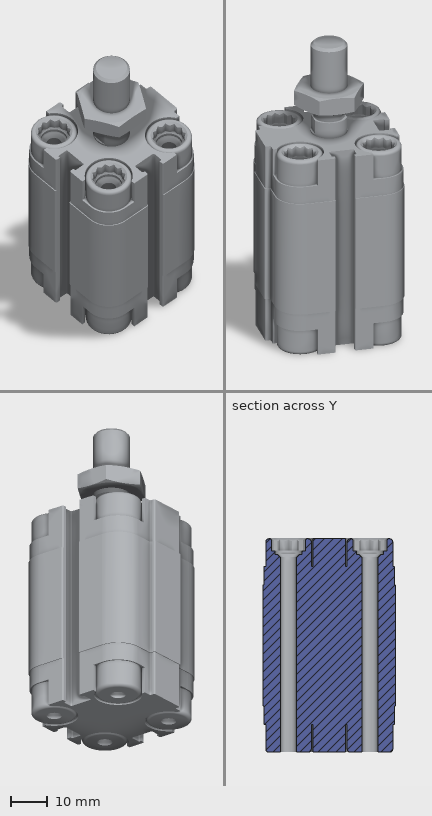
import cadquery as cq
import math


TOTAL_HEIGHT = 84.5
HOUSING_HEIGHT = 58.0
CAP_HEIGHT = 12.5
HEAD_HEIGHT = 7.5
NUT_BOTTOM = 66.5
NUT_HEIGHT = 5.0

BARREL_HALF = 18.0
CAP_STEP = 0.25
BOLT_SPACING = 22.05
BOLT_OFFSET = BOLT_SPACING / 2
TAB_HALF_WIDTH = 5.75
TAB_HEIGHT = 1.5
EDGE_ROUNDING = 0.4
CUT_MARGIN = 0.85

SLOT_HALF_OPENING = 2.7
SLOT_HALF_WIDTH = 3.5
SLOT_LIP_DEPTH = 16.4
SLOT_FLOOR = 13.2
SLOT_CHAMFER = 0.25

NOTCH_INNER = 7.8
HEAD_RADIUS = 12.5 / 2
RECESS_RADIUS = 13.0 / 2
HEAD_FILLET = 1.0
SOCKET_MOUTH_RADIUS = 10.0 / 2
SOCKET_VALLEY_RADIUS = 8.3 / 2
SOCKET_POINTS = 12
SOCKET_DEPTH = 3.4
RELIEF_RADIUS = 7.2 / 2
RELIEF_DEPTH = 0.85
BORE_MOUTH_RADIUS = 6.0 / 2
BORE_RADIUS = 4.1 / 2

ROD_RADIUS = 10.0 / 2
NECK_RADIUS = 8.45 / 2
THREAD_CHAMFER = 0.8
NECK_BOTTOM = 62.5
THREAD_BOTTOM = 65.2
FLAT_BOTTOM = 58.5
FLAT_DISTANCE = 8.95
ROD_BOTTOM = HOUSING_HEIGHT - CAP_HEIGHT

NUT_ACROSS_FLATS = 17.1
NUT_FACE_RADIUS = 8.4
NUT_CHAMFER_ANGLE = 15


def cylinder(radius, bottom, height, x=0, y=0):
    return cq.Workplane("XY", origin=(x, y, bottom)).circle(radius).extrude(height)


def cone(bottom_radius, top_radius, bottom, height):
    solid = cq.Solid.makeCone(bottom_radius, top_radius, height, cq.Vector(0, 0, bottom))
    return cq.Workplane(obj=solid)


def housing_block(half, bottom, height):
    """Rounded square prism with the raised tab on its +Y side."""
    square = (
        cq.Workplane("XY", origin=(0, 0, bottom))
        .rect(2 * half, 2 * half)
        .extrude(height)
        .edges("|Z")
        .fillet(half - BOLT_OFFSET)
    )
    side = TAB_HALF_WIDTH - (BARREL_HALF - half)
    top = half + TAB_HEIGHT
    r = EDGE_ROUNDING
    bulge = r * (1 - math.sqrt(0.5))
    tab = (
        cq.Workplane("XY", origin=(0, 0, bottom))
        .moveTo(-side - r, half)
        .threePointArc((-side - bulge, half + bulge), (-side, half + r))
        .lineTo(-side, top - r)
        .threePointArc((-side + bulge, top - bulge), (-side + r, top))
        .lineTo(side - r, top)
        .threePointArc((side - bulge, top - bulge), (side, top - r))
        .lineTo(side, half + r)
        .threePointArc((side + bulge, half + bulge), (side + r, half))
        .lineTo(side, BOLT_OFFSET)
        .lineTo(-side, BOLT_OFFSET)
        .close()
        .extrude(height)
    )
    return square.union(tab)


def t_slot(half, bottom, height):
    """Cutter for the T-slot of the -Y side, with a rounded mouth at distance half from the axis."""
    r = EDGE_ROUNDING
    c = SLOT_CHAMFER
    bulge = r * (1 - math.sqrt(0.5))
    outer = BARREL_HALF + CUT_MARGIN
    half_slot = (
        cq.Workplane("XY", origin=(0, 0, bottom))
        .moveTo(0, -outer)
        .lineTo(SLOT_HALF_OPENING + r, -outer)
        .lineTo(SLOT_HALF_OPENING + r, -half)
        .threePointArc((SLOT_HALF_OPENING + bulge, -half + bulge), (SLOT_HALF_OPENING, -half + r))
        .lineTo(SLOT_HALF_OPENING, -SLOT_LIP_DEPTH)
        .lineTo(SLOT_HALF_WIDTH - c, -SLOT_LIP_DEPTH)
        .lineTo(SLOT_HALF_WIDTH, -SLOT_LIP_DEPTH + c)
        .lineTo(SLOT_HALF_WIDTH, -SLOT_FLOOR - c)
        .lineTo(SLOT_HALF_WIDTH - c, -SLOT_FLOOR)
        .lineTo(0, -SLOT_FLOOR)
        .close()
        .extrude(height)
    )
    return half_slot.union(half_slot.mirror("YZ"))


def housing_section(half, bottom, height):
    """One length of the housing, slotted on the -Y, +X and -X sides."""
    section = housing_block(half, bottom, height)
    slot = t_slot(half, bottom, height)
    for angle in (-90, 0, 90):
        section = section.cut(slot.rotate((0, 0, 0), (0, 0, 1), angle))
    return section


def corner_notch(bottom, end_face):
    """Cutter that frees a screw head in the +X +Y corner; the head is rounded at its end face."""
    reach = BARREL_HALF + CUT_MARGIN - NOTCH_INNER
    notch = (
        cq.Workplane("XY", origin=(NOTCH_INNER, NOTCH_INNER, bottom))
        .rect(reach, reach, centered=False)
        .extrude(HEAD_HEIGHT)
        .union(cylinder(RECESS_RADIUS, bottom, HEAD_HEIGHT, BOLT_OFFSET, BOLT_OFFSET))
    )
    head = cylinder(HEAD_RADIUS, bottom, HEAD_HEIGHT, BOLT_OFFSET, BOLT_OFFSET)
    return notch.cut(head.faces(end_face).edges().fillet(HEAD_FILLET))


def screw_socket():
    """Cutter for the twelve-point socket and the bore through the whole housing."""
    half_flats = SOCKET_VALLEY_RADIUS * math.cos(math.pi / SOCKET_POINTS)
    point_radius = half_flats / math.cos(math.pi / 6)
    floor = HOUSING_HEIGHT - SOCKET_DEPTH
    outline = []
    for i in range(2 * SOCKET_POINTS):
        radius = SOCKET_VALLEY_RADIUS if i % 2 else point_radius
        angle = i * math.pi / SOCKET_POINTS
        outline.append((radius * math.cos(angle), radius * math.sin(angle)))
    star = cq.Workplane("XY", origin=(0, 0, floor)).polyline(outline).close().extrude(SOCKET_DEPTH)

    mouth_depth = SOCKET_MOUTH_RADIUS - SOCKET_VALLEY_RADIUS
    mouth = cone(SOCKET_VALLEY_RADIUS, SOCKET_MOUTH_RADIUS, HOUSING_HEIGHT - mouth_depth, mouth_depth)

    relief_floor = floor - RELIEF_DEPTH
    relief = cylinder(RELIEF_RADIUS, relief_floor, RELIEF_DEPTH)
    funnel_depth = BORE_MOUTH_RADIUS - BORE_RADIUS
    funnel = cone(BORE_RADIUS, BORE_MOUTH_RADIUS, relief_floor - funnel_depth, funnel_depth)
    bore = cylinder(BORE_RADIUS, 0, HOUSING_HEIGHT)
    socket = star.union(mouth).union(relief).union(funnel).union(bore)
    return socket.translate((BOLT_OFFSET, BOLT_OFFSET, 0))


def make_housing():
    cap_half = BARREL_HALF - CAP_STEP
    top_cap_bottom = HOUSING_HEIGHT - CAP_HEIGHT
    body = (
        housing_section(cap_half, 0, CAP_HEIGHT)
        .union(housing_section(BARREL_HALF, CAP_HEIGHT, top_cap_bottom - CAP_HEIGHT))
        .union(housing_section(cap_half, top_cap_bottom, CAP_HEIGHT))
    )
    cutters = [
        corner_notch(HOUSING_HEIGHT - HEAD_HEIGHT, ">Z"),
        corner_notch(0, "<Z"),
        screw_socket(),
    ]
    for quarter in range(4):
        for cutter in cutters:
            body = body.cut(cutter.rotate((0, 0, 0), (0, 0, 1), 90 * quarter))
    return body.cut(cylinder(ROD_RADIUS, ROD_BOTTOM, CAP_HEIGHT))


def make_rod():
    rod = (
        cq.Workplane("XZ")
        .moveTo(0, ROD_BOTTOM)
        .lineTo(ROD_RADIUS, ROD_BOTTOM)
        .lineTo(ROD_RADIUS, NECK_BOTTOM)
        .lineTo(NECK_RADIUS, NECK_BOTTOM)
        .lineTo(NECK_RADIUS, THREAD_BOTTOM - THREAD_CHAMFER)
        .lineTo(ROD_RADIUS, THREAD_BOTTOM)
        .lineTo(ROD_RADIUS, TOTAL_HEIGHT - THREAD_CHAMFER)
        .lineTo(NECK_RADIUS, TOTAL_HEIGHT)
        .lineTo(0, TOTAL_HEIGHT)
        .close()
        .revolve(360, (0, 0, 0), (0, 1, 0))
    )
    flat_centre = FLAT_DISTANCE / 2 + ROD_RADIUS / 2
    flats = (
        cq.Workplane("XY", origin=(0, 0, FLAT_BOTTOM))
        .pushPoints([(0, -flat_centre), (0, flat_centre)])
        .rect(2 * ROD_RADIUS, ROD_RADIUS)
        .extrude(NECK_BOTTOM - FLAT_BOTTOM)
    )
    return rod.cut(flats)


def make_nut():
    corner_radius = NUT_ACROSS_FLATS / 2 / math.cos(math.pi / 6)
    drop = (corner_radius - NUT_FACE_RADIUS) * math.tan(math.radians(NUT_CHAMFER_ANGLE))
    top = NUT_BOTTOM + NUT_HEIGHT
    hexagon = (
        cq.Workplane("XY", origin=(0, 0, NUT_BOTTOM))
        .transformed(rotate=(0, 0, 90))
        .polygon(6, 2 * corner_radius)
        .extrude(NUT_HEIGHT)
    )
    blank = (
        cq.Workplane("XZ")
        .moveTo(ROD_RADIUS, NUT_BOTTOM)
        .lineTo(NUT_FACE_RADIUS, NUT_BOTTOM)
        .lineTo(corner_radius, NUT_BOTTOM + drop)
        .lineTo(corner_radius, top - drop)
        .lineTo(NUT_FACE_RADIUS, top)
        .lineTo(ROD_RADIUS, top)
        .close()
        .revolve(360, (0, 0, 0), (0, 1, 0))
    )
    return hexagon.intersect(blank)


housing = make_housing()
rod = make_rod()
nut = make_nut()

result = cq.Compound.makeCompound([housing.val(), rod.val(), nut.val()])